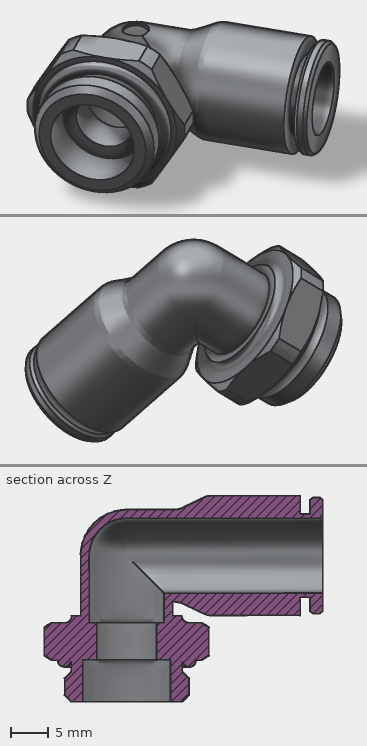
import cadquery as cq
import math


overall_length = 37.2
overall_depth = 27.5

elbow_radius = 6.18
bore_radius = 5.0
badge_radius = 1.8
badge_floor = 5.5

hex_across_flats = 20.0
hex_corner_radius = 11.0
hex_top = 8.93
hex_bottom = 13.95
hex_chamfer = 0.6

socket_radius = 8.0
taper_start = 6.95
taper_end = 10.75
taper_blend = 1.85
socket_end = 23.18
neck_radius = 5.58
release_radius = 7.77
release_start = 24.45
release_end = overall_length - hex_corner_radius
release_chamfer = 0.45
release_chamfer_depth = 0.35

collar_radius = 7.35
collar_top = 8.0
collar_blend = hex_top - collar_top
thread_radius = 8.35
relief_radius = 7.45
relief_bottom = 15.48
seal_radius = 9.25
stud_end = overall_depth - socket_radius
stud_chamfer = thread_radius - relief_radius
throat_radius = 3.98
counterbore_radius = 5.85
counterbore_depth = 5.58


def cylinder_along_x(radius, start, end):
    return cq.Workplane("YZ", origin=(start, 0, 0)).circle(radius).extrude(end - start)


def cylinder_down_y(radius, start, end):
    """Cylinder between two distances below the elbow centre."""
    return cq.Workplane("XZ", origin=(0, -start, 0)).circle(radius).extrude(end - start)


def make_elbow():
    ball = cq.Workplane("XY").sphere(elbow_radius)
    return (
        ball.union(cylinder_along_x(elbow_radius, 0, taper_start))
        .union(cylinder_down_y(elbow_radius, 0, hex_top))
    )


def make_socket():
    """Tapered socket, with the narrower neck and release ring at its mouth."""
    body = (
        cq.Workplane("XY")
        .moveTo(0, 0)
        .lineTo(0, elbow_radius)
        .lineTo(taper_start, elbow_radius)
        .lineTo(taper_end, socket_radius)
        .lineTo(socket_end, socket_radius)
        .lineTo(socket_end, 0)
        .close()
        .revolve(360, (0, 0, 0), (1, 0, 0))
    )
    for position in (taper_start, taper_end):
        rim = cq.selectors.NearestToPointSelector((position, 0, 0))
        body = body.edges("%CIRCLE").edges(rim).fillet(taper_blend)
    neck = cylinder_along_x(neck_radius, socket_end, release_start)
    ring = cylinder_along_x(release_radius, release_start, release_end)
    ring = ring.edges("%CIRCLE").chamfer(release_chamfer, release_chamfer_depth)
    return body.union(neck).union(ring)


def make_hexagon():
    flat_radius = hex_across_flats / 2
    corner_diameter = hex_across_flats / math.cos(math.pi / 6)
    prism = (
        cq.Workplane("XZ", origin=(0, -hex_top, 0))
        .polygon(6, corner_diameter)
        .extrude(hex_bottom - hex_top)
    )
    envelope = cylinder_down_y(hex_corner_radius, hex_top, hex_bottom)
    envelope = envelope.faces("<Y or >Y").chamfer(hex_chamfer, hex_corner_radius - flat_radius)
    return prism.intersect(envelope)


def make_stud():
    """Collar, half-round sealing ring, relief groove and plain thread body, turned about Y."""
    blend_radius = collar_radius + collar_blend
    blend_offset = collar_blend * math.sqrt(0.5)
    seal_thickness = (seal_radius - relief_radius) / 2
    seal_centre = (seal_radius + relief_radius) / 2
    return (
        cq.Workplane("XY")
        .moveTo(0, -collar_top)
        .lineTo(collar_radius, -collar_top)
        .threePointArc(
            (blend_radius - blend_offset, -collar_top - blend_offset),
            (blend_radius, -hex_top),
        )
        .lineTo(seal_radius, -hex_top)
        .lineTo(seal_radius, -hex_bottom)
        .threePointArc(
            (seal_centre, -hex_bottom - seal_thickness),
            (relief_radius, -hex_bottom),
        )
        .lineTo(relief_radius, -relief_bottom)
        .lineTo(thread_radius, -relief_bottom - stud_chamfer)
        .lineTo(thread_radius, -stud_end + stud_chamfer)
        .lineTo(relief_radius, -stud_end)
        .lineTo(0, -stud_end)
        .close()
        .revolve(360, (0, 0, 0), (0, 1, 0))
    )


def make_bore():
    """Elbow passage with a rounded outer corner, narrowing to a throat, then a wider mouth."""
    return (
        cq.Workplane("XY").sphere(bore_radius)
        .union(cylinder_along_x(bore_radius, 0, release_end))
        .union(cylinder_down_y(bore_radius, 0, hex_top))
        .union(cylinder_down_y(throat_radius, 0, stud_end))
        .union(cylinder_down_y(counterbore_radius, stud_end - counterbore_depth, stud_end))
    )


def make_badge_recess():
    """Round flat-bottomed recess on the upper side of the elbow."""
    return (
        cq.Workplane("XY", origin=(0, 0, badge_floor))
        .circle(badge_radius)
        .extrude(elbow_radius - badge_floor)
    )


result = (
    make_elbow()
    .union(make_socket())
    .union(make_hexagon())
    .union(make_stud())
    .cut(make_bore())
    .cut(make_badge_recess())
)